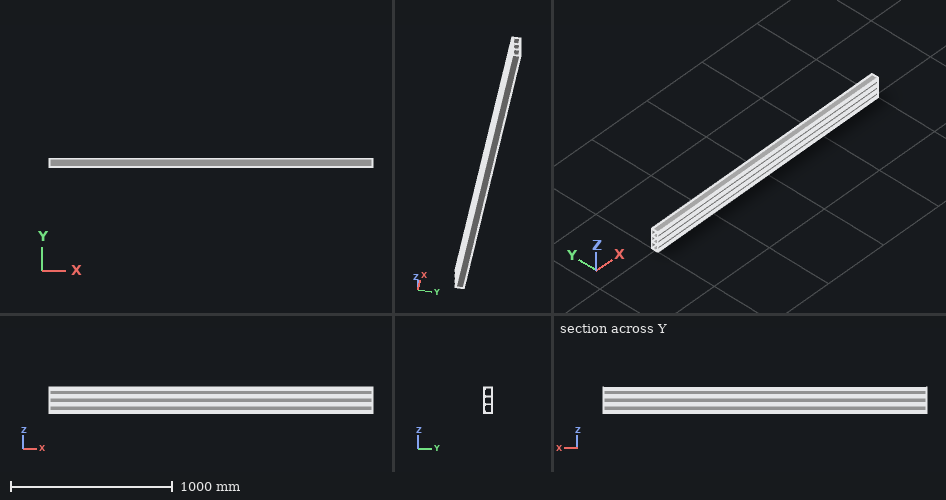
import cadquery as cq


length = 2000.0
depth = 53.0
height = 160.0
front_y = -depth / 2
back_y = depth / 2

wall = 2.0
front_lip_thickness = 2.5
outer_corner_radius = 3.0
compartment_pitch = 48.5
divider_z = compartment_pitch / 2

lid_width = 43.0
lid_thickness = 3.0
lid_groove_width = 30.0
lid_groove_depth = 1.4
lid_leg_thickness = 2.0
lid_leg_reach = 10.0

lid_centres = [i * compartment_pitch for i in (-1, 0, 1)]


def bar(y_start, y_end, z_start, z_end):
    """Full-length rectangular bar between two Y and two Z positions."""
    return (
        cq.Workplane("XY")
        .box(length, y_end - y_start, z_end - z_start)
        .translate((0, (y_start + y_end) / 2, (z_start + z_end) / 2))
    )


def make_housing():
    """Open-ended box with two dividers and a front opening for each lid."""
    body = bar(front_y, back_y, -height / 2, height / 2)
    body = body.edges("|X and <Y").fillet(outer_corner_radius)

    inner_half_height = height / 2 - wall
    outer_side_of_divider = divider_z + wall / 2
    inner_side_of_divider = divider_z - wall / 2
    compartments = [
        (-inner_half_height, -outer_side_of_divider),
        (-inner_side_of_divider, inner_side_of_divider),
        (outer_side_of_divider, inner_half_height),
    ]
    cavity_front_y = front_y + front_lip_thickness
    for z_low, z_high in compartments:
        body = body.cut(bar(cavity_front_y, back_y - wall, z_low, z_high))

    for z in lid_centres:
        body = body.cut(bar(front_y, cavity_front_y, z - lid_width / 2, z + lid_width / 2))
    return body


def make_lid(z):
    """Lid flush with the front: a plate with a shallow wide groove and two inward legs."""
    half_width = lid_width / 2
    half_groove = lid_groove_width / 2
    blank = bar(front_y, front_y + lid_leg_reach, z - half_width, z + half_width)

    half_gap = half_width - lid_leg_thickness
    gap_between_legs = bar(
        front_y + lid_thickness, front_y + lid_leg_reach, z - half_gap, z + half_gap
    )
    groove = bar(front_y, front_y + lid_groove_depth, z - half_groove, z + half_groove)
    return blank.cut(gap_between_legs).cut(groove)


housing = make_housing()
lids = [make_lid(z) for z in lid_centres]

result = cq.Compound.makeCompound([housing.val(), *[lid.val() for lid in lids]])